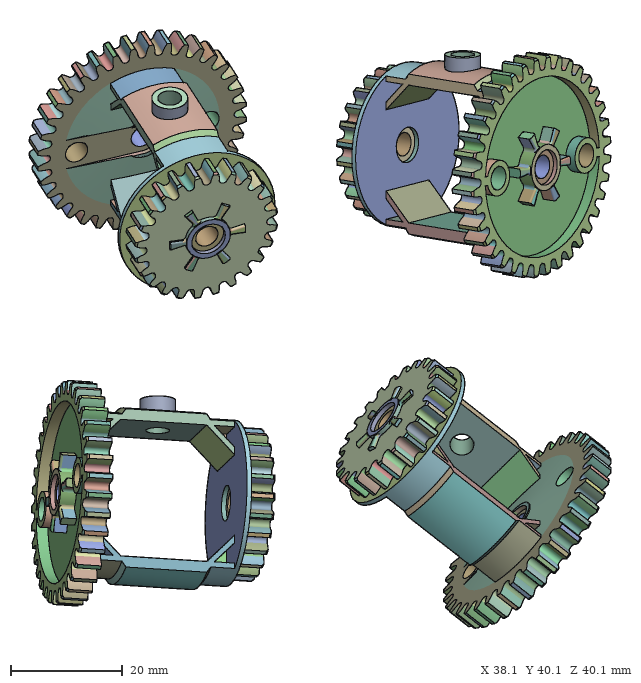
import cadquery as cq
import math

module = 19.0 / 18.0
pressure_angle = math.radians(14.5)
large_teeth = 36
small_teeth = 24
addendum = 1.105
flank_extension = 0.06
flank_clearance = 0.058
tip_chamfer = 0.35

hub_end_x = 19.05
spoke_end_x = 18.86
gear_outer_x = 18.2
gear_inner_x = 13.5
cage_inner_x = 12.63

bore_radius = 2.13
counterbore_radius = 3.2
hub_radius = 4.2
boss_radius = 3.22
boss_offset = 12.63

pocket_radius = 16.4
pocket_depth = 2.1
bridge_width = 1.66
pocket_floor_x = gear_outer_x - pocket_depth
counterbore_depth = gear_inner_x - cage_inner_x

flange_radius = 14.92
cone_end_x = 12.87
inner_hub_radius = 3.95
slot_width = 2 * counterbore_radius

arm_width = 12.3
arm_inner_z = 12.6
arm_outer_radius = 15.86
arm_raised_x = 7.48
arm_step_length = 0.77
stub_top_z = 18.2

gusset_large_side_x = 8.45
gusset_small_side_x = 7.45
gusset_thickness = 1.0
gusset_web_thickness = 1.0

spoke_count = 6
spoke_tip_radius = 7.2
spoke_tip_width = 1.66
spoke_root_width = 1.1
spoke_root_fillet = 0.6
spoke_edge_fillet = 0.35


def cylinder(radius, x_start, x_end, y=0.0):
    """Cylinder parallel to X."""
    return cq.Workplane("YZ", origin=(x_start, y, 0)).circle(radius).extrude(x_end - x_start)


def involute(angle):
    """Involute function of a pressure angle in radians."""
    return math.tan(angle) - angle


def gear(teeth, x_start, x_end):
    """Spur gear with a tooth gap on the +Y axis and rounded gap roots."""
    pitch_radius = module * teeth / 2
    base_radius = pitch_radius * math.cos(pressure_angle)
    tip_radius = pitch_radius + addendum
    flank_radius = base_radius - flank_extension
    pitch_half_angle = math.pi / (2 * teeth) - flank_clearance / pitch_radius
    tooth_pitch = 2 * math.pi / teeth

    def flank_angle(radius):
        """Half angle of a tooth at the given radius."""
        local_pressure = math.acos(base_radius / radius)
        return pitch_half_angle + involute(pressure_angle) - involute(local_pressure)

    def polar(radius, angle):
        return (radius * math.cos(angle), radius * math.sin(angle))

    middle_radius = (base_radius + tip_radius) / 2
    base_angle = flank_angle(base_radius)
    middle_angle = flank_angle(middle_radius)
    tip_angle = flank_angle(tip_radius)
    outline = cq.Workplane("YZ", origin=(x_start, 0, 0))
    outline = outline.moveTo(*polar(flank_radius, tooth_pitch / 2 - base_angle))
    for tooth in range(teeth):
        centre = (tooth + 0.5) * tooth_pitch
        next_flank = centre + tooth_pitch - base_angle
        outline = (
            outline.threePointArc(polar(middle_radius, centre - middle_angle),
                                  polar(tip_radius, centre - tip_angle))
            .threePointArc(polar(tip_radius, centre), polar(tip_radius, centre + tip_angle))
            .threePointArc(polar(middle_radius, centre + middle_angle),
                           polar(flank_radius, centre + base_angle))
            .tangentArcPoint(polar(flank_radius, next_flank), relative=False)
        )
    return outline.close().extrude(x_end - x_start)


def chamfered_blank(teeth, outer_x, inner_x):
    """Turned envelope that chamfers the tooth tips at the outer face."""
    tip_radius = module * teeth / 2 + addendum
    side = math.copysign(tip_chamfer, outer_x)
    return (
        cq.Workplane("XY")
        .moveTo(inner_x, 0)
        .lineTo(inner_x, tip_radius)
        .lineTo(outer_x - side, tip_radius)
        .lineTo(outer_x, tip_radius - tip_chamfer)
        .lineTo(outer_x, 0)
        .close()
        .revolve(360, (0, 0, 0), (1, 0, 0))
    )


def large_gear():
    """Dished 36-tooth gear with planet pin bosses and a conical, slotted back."""
    body = gear(large_teeth, -gear_outer_x, -gear_inner_x)
    body = body.intersect(chamfered_blank(large_teeth, -gear_outer_x, -gear_inner_x))
    pocket = cylinder(pocket_radius, -gear_outer_x, -pocket_floor_x)
    bridge_length = pocket_radius - boss_offset
    for side in (-1, 1):
        boss = cylinder(boss_radius, -gear_outer_x, -pocket_floor_x, side * boss_offset)
        pocket = pocket.cut(boss)
        bridge = cq.Workplane("XY").box(pocket_depth, bridge_length, bridge_width)
        bridge_x = -(gear_outer_x + pocket_floor_x) / 2
        bridge_y = side * (boss_offset + bridge_length / 2)
        pocket = pocket.cut(bridge.translate((bridge_x, bridge_y, 0)))
    body = body.cut(pocket)
    back = (
        cq.Workplane("XY")
        .moveTo(-pocket_floor_x, 0)
        .lineTo(-pocket_floor_x, flange_radius)
        .lineTo(-gear_inner_x, flange_radius)
        .lineTo(-cone_end_x, inner_hub_radius)
        .lineTo(-cage_inner_x, inner_hub_radius)
        .lineTo(-cage_inner_x, 0)
        .close()
        .revolve(360, (0, 0, 0), (1, 0, 0))
    )
    body = body.union(back)
    slot = (
        cq.Workplane("XY", origin=(-gear_inner_x, -flange_radius, -slot_width / 2))
        .rect(gear_inner_x - cage_inner_x, flange_radius, centered=False)
        .extrude(slot_width)
    )
    return body.cut(slot)


def small_gear():
    """24-tooth gear on a plain round flange."""
    body = gear(small_teeth, gear_inner_x, gear_outer_x)
    body = body.intersect(chamfered_blank(small_teeth, gear_outer_x, gear_inner_x))
    return body.union(cylinder(flange_radius, cage_inner_x, gear_inner_x))


def dog_clutch():
    """Outer hub with radial spokes, on the +X side."""
    body = cylinder(hub_radius, pocket_floor_x, hub_end_x)
    root_half = spoke_root_width / 2
    tip_half = spoke_tip_width / 2
    fillet_y = root_half + spoke_root_fillet
    fillet_x = math.sqrt((hub_radius + spoke_root_fillet) ** 2 - fillet_y ** 2)
    hub_share = hub_radius / (hub_radius + spoke_root_fillet)
    touch_x = fillet_x * hub_share
    touch_y = fillet_y * hub_share
    middle_angle = (math.atan2(fillet_y, fillet_x) + math.pi / 2) / 2
    middle_x = fillet_x - spoke_root_fillet * math.cos(middle_angle)
    middle_y = fillet_y - spoke_root_fillet * math.sin(middle_angle)
    embedded_x = (counterbore_radius + hub_radius) / 2
    spoke = (
        cq.Workplane("YZ", origin=(pocket_floor_x, 0, 0))
        .moveTo(embedded_x, -touch_y)
        .lineTo(touch_x, -touch_y)
        .threePointArc((middle_x, -middle_y), (fillet_x, -root_half))
        .lineTo(spoke_tip_radius, -tip_half)
        .lineTo(spoke_tip_radius, tip_half)
        .lineTo(fillet_x, root_half)
        .threePointArc((middle_x, middle_y), (touch_x, touch_y))
        .lineTo(embedded_x, touch_y)
        .close()
        .extrude(spoke_end_x - pocket_floor_x)
    )
    pick_margin = 0.1
    long_top_edges = cq.selectors.BoxSelector(
        (spoke_end_x - pick_margin, touch_x, -tip_half),
        (spoke_end_x + pick_margin, spoke_tip_radius - pick_margin, tip_half),
    )
    spoke = spoke.edges(long_top_edges).fillet(spoke_edge_fillet)
    for index in range(spoke_count):
        body = body.union(spoke.rotate((0, 0, 0), (1, 0, 0), index * 360 / spoke_count))
    return body


def gusset(corner_x, wall_x):
    """45 degree brace between the upper arm and an end wall, with a thin central web behind it."""
    reach = abs(wall_x - corner_x)
    web = (
        cq.Workplane("XZ", origin=(0, gusset_web_thickness / 2, 0))
        .polyline([(corner_x, arm_inner_z), (wall_x, arm_inner_z), (wall_x, arm_inner_z - reach)])
        .close()
        .extrude(gusset_web_thickness)
    )
    drop = gusset_thickness * math.sqrt(2)
    inner_x = corner_x + math.copysign(drop, wall_x)
    brace = (
        cq.Workplane("XZ", origin=(0, arm_width / 2, 0))
        .polyline([
            (corner_x, arm_inner_z),
            (inner_x, arm_inner_z),
            (wall_x, arm_inner_z - reach + drop),
            (wall_x, arm_inner_z - reach),
        ])
        .close()
        .extrude(arm_width)
    )
    return web.union(brace)


def arm():
    """Upper cage arm: turned outside with a raised middle, flat inside, braced at both ends."""
    step_x = arm_raised_x + arm_step_length
    turned = (
        cq.Workplane("XY")
        .moveTo(-gear_inner_x, 0)
        .lineTo(-gear_inner_x, flange_radius)
        .lineTo(-step_x, flange_radius)
        .lineTo(-arm_raised_x, arm_outer_radius)
        .lineTo(arm_raised_x, arm_outer_radius)
        .lineTo(step_x, flange_radius)
        .lineTo(gear_inner_x, flange_radius)
        .lineTo(gear_inner_x, 0)
        .close()
        .revolve(360, (0, 0, 0), (1, 0, 0))
    )
    window = cq.Workplane("XY", origin=(0, 0, arm_inner_z)).rect(2 * gear_inner_x, arm_width)
    body = turned.intersect(window.extrude(arm_outer_radius - arm_inner_z))
    body = body.union(gusset(-gusset_large_side_x, -gear_inner_x))
    return body.union(gusset(gusset_small_side_x, cage_inner_x))


def bores():
    """Axle bore with its counterbores, planet pin bores and the stub bore."""
    cuts = cylinder(bore_radius, -hub_end_x, hub_end_x)
    for side in (-1, 1):
        outer_floor_x = hub_end_x - counterbore_depth
        inner_floor_x = cage_inner_x + counterbore_depth
        cuts = cuts.union(cylinder(counterbore_radius, side * hub_end_x, side * outer_floor_x))
        cuts = cuts.union(cylinder(counterbore_radius, side * cage_inner_x, side * inner_floor_x))
        cuts = cuts.union(cylinder(bore_radius, -gear_outer_x, -cone_end_x, side * boss_offset))
    stub_bore = cq.Workplane("XY", origin=(0, 0, arm_inner_z)).circle(bore_radius)
    return cuts.union(stub_bore.extrude(stub_top_z - arm_inner_z))


def stub():
    """Round stub standing on the middle of the upper arm."""
    base = cq.Workplane("XY", origin=(0, 0, arm_inner_z))
    return base.circle(boss_radius).extrude(stub_top_z - arm_inner_z)


upper_arm = arm()
clutch = dog_clutch()

cage_arms = upper_arm.union(upper_arm.mirror("XY"))
result = large_gear().union(small_gear().union(cage_arms))
result = result.union(clutch).union(clutch.mirror("YZ"))
result = result.union(stub())
result = result.cut(bores())